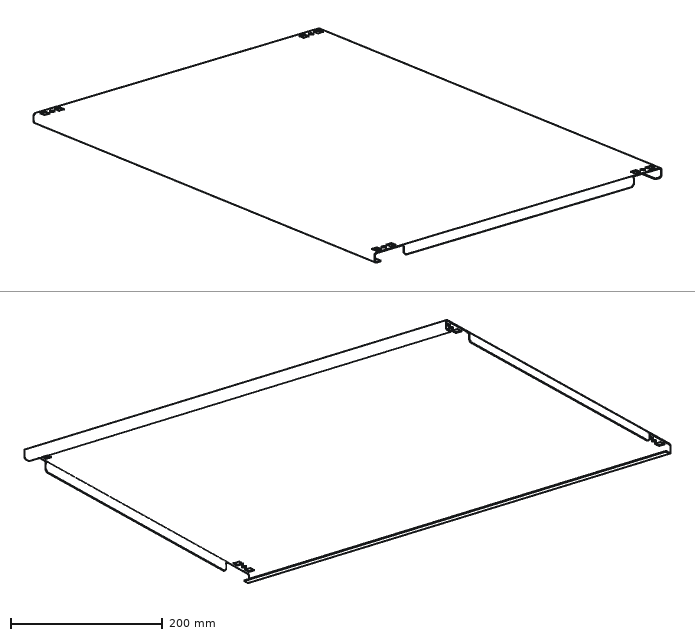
import cadquery as cq

length = 699.0
width = 500.0
height = 15.0

sheet = 1.5
bend_radius = 4.0
inner_radius = bend_radius - sheet

long_edge_length = 694.0
lip_depth = 11.0

side_fold_length = 400.0
side_corner_chamfer = 3.5

hole_group_x = 337.5
hole_group_y = 225.0
square_hole = 9.0
square_hole_offset = 12.5
round_hole_diameter = 6.0


def make_plate_and_lips():
    """Top plate with both long edges folded down and under."""
    outer = (
        cq.Workplane("YZ")
        .rect(width, height)
        .extrude(long_edge_length / 2, both=True)
        .edges("|X")
        .fillet(bend_radius)
    )
    inner = (
        cq.Workplane("YZ")
        .rect(width - 2 * sheet, height - 2 * sheet)
        .extrude(long_edge_length / 2, both=True)
        .edges("|X")
        .fillet(inner_radius)
    )
    underside_opening = (
        cq.Workplane("XY")
        .box(length, width - 2 * lip_depth, height)
        .translate((0, 0, -height / 2))
    )
    return outer.cut(inner).cut(underside_opening)


def make_side_folds():
    """Downward folds on both short edges, joined by a strip of the top plate."""
    outer = (
        cq.Workplane("XY")
        .box(length, side_fold_length, height)
        .edges("|Y and >Z")
        .fillet(bend_radius)
        .edges("|X and <Z")
        .chamfer(side_corner_chamfer)
    )
    inner = (
        cq.Workplane("XY")
        .box(length - 2 * sheet, side_fold_length, height)
        .edges("|Y and >Z")
        .fillet(inner_radius)
        .translate((0, 0, -sheet))
    )
    return outer.cut(inner)


def make_corner_holes():
    """Cutters for the four corner hole groups, passing through the top plate only."""
    cutters = cq.Workplane("XY")
    for side_x in (-1, 1):
        for side_y in (-1, 1):
            group = cq.Workplane("XY").center(side_x * hole_group_x, side_y * hole_group_y)
            square_points = [(0, -square_hole_offset), (0, square_hole_offset)]
            squares = group.pushPoints(square_points).rect(square_hole, square_hole).extrude(height)
            round_hole = group.circle(round_hole_diameter / 2).extrude(height)
            cutters = cutters.add(squares).add(round_hole)
    return cutters.combine()


result = make_plate_and_lips().union(make_side_folds()).cut(make_corner_holes())